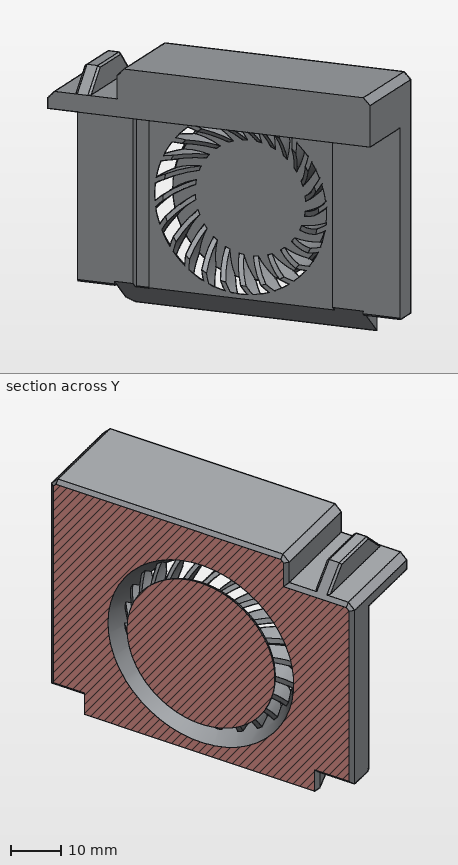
import cadquery as cq
import math

width = 70.0
depth = 22.0
height = 54.9
edge_chamfer = 1.5

plate_bottom = 5.0
plate_thickness = 7.1
plate_front = depth - plate_thickness
plate_front_chamfer = 0.4
shelf_bottom = 44.8

step_width = 15.1
step_top = 48.5

tongue_left = 8.05
tongue_right = 62.0
tongue_angle = 40.0

groove_left = 12.1
groove_depth = 1.8
recess_left = step_width
recess_right = 55.45
recess_depth = 0.9
recess_front = plate_front + recess_depth

rib_left = 5.95
rib_width = 3.3
rib_height = 4.9
rib_side_bevel = 0.5
rib_top_bevel = 0.35
rib_root = 0.7

fan_x = 35.1
fan_z = 24.8
opening_radius = 18.6
opening_angle = 27.0
hub_front_radius = 16.9
hub_back_radius = 17.4
hub_thickness = 1.25
hub_front = depth - hub_thickness
floor_radius = hub_front_radius - (hub_front - recess_front)
blade_count = 24
blade_thickness = 1.0
blade_arc_radius = 15.2
blade_center_radius = 14.85
blade_center_angle = 73.7
blade_start_angle = -62.0
blade_end_angle = -10.0


def front_plane(y):
    """Sketch plane facing -Y, with X to the right and Z up."""
    return cq.Workplane("XZ", origin=(0, y, 0))


def side_plane(x):
    """Sketch plane facing +X, with Y and Z as its axes."""
    return cq.Workplane("YZ", origin=(x, 0, 0))


def block(x0, x1, y0, y1, z0, z1):
    """Box between two opposite corners."""
    return cq.Workplane("XY").box(x1 - x0, y1 - y0, z1 - z0, centered=False).translate((x0, y0, z0))


def chamfered_block(left, top):
    """Full-depth block with its back edges and its two upper side edges chamfered."""
    sharp = block(left, width, 0, depth, plate_bottom, top)
    return sharp.edges(">Y or (|Y and >Z)").chamfer(edge_chamfer)


def make_body():
    """Stepped body, cut away below the shelf."""
    low_part = chamfered_block(0, step_top)
    tall_part = chamfered_block(step_width, height)
    below_shelf = block(0, width, 0, plate_front, 0, shelf_bottom)
    body = low_part.union(tall_part).cut(below_shelf)
    return body.faces("<Z").edges("<Y").chamfer(plate_front_chamfer)


def add_tongue(body):
    """Tongue hanging below the plate, its underside rising toward the front."""
    tongue = block(tongue_left, tongue_right, plate_front, depth, 0, plate_bottom + 2 * edge_chamfer)
    tongue = tongue.edges("|Z and <X and >Y").chamfer(edge_chamfer)
    slope_rise = plate_thickness * math.tan(math.radians(tongue_angle))
    below_slope = (
        side_plane(tongue_left)
        .polyline([(depth, 0), (plate_front, slope_rise), (plate_front, 0)])
        .close()
        .extrude(tongue_right - tongue_left)
    )
    return body.union(tongue).cut(below_slope)


def cut_front_recesses(body):
    """Shallow fan recess with a deeper cable groove along its left side."""
    groove = block(groove_left, recess_left, plate_front, plate_front + groove_depth, plate_bottom, shelf_bottom)
    recess = block(recess_left, recess_right, plate_front, recess_front, plate_bottom, shelf_bottom)
    return body.cut(groove).cut(recess)


def make_rib():
    """Rib with 45 degree ends, bevelled along both sides of its top and ends."""
    rib_front = -rib_root
    rib_back = depth - edge_chamfer + rib_root
    slope_run = rib_height + rib_root
    rib_bottom = step_top - rib_root
    rib_top = step_top + rib_height
    outline = [
        (rib_front, rib_bottom),
        (rib_back, rib_bottom),
        (rib_back - slope_run, rib_top),
        (rib_front + slope_run, rib_top),
    ]
    bevel_angle = math.degrees(math.atan(rib_top_bevel / rib_side_bevel))
    core_left = rib_left + rib_side_bevel
    core_right = rib_left + rib_width - rib_side_bevel
    core = side_plane(core_left).polyline(outline).close().extrude(core_right - core_left)
    right_bevel = side_plane(core_right).polyline(outline).close().extrude(rib_side_bevel, taper=bevel_angle)
    left_bevel = right_bevel.mirror("YZ", (rib_left + rib_width / 2, 0, 0))
    rib = core.union(right_bevel).union(left_bevel)
    above_step = block(0, step_width, 0, depth, step_top, height)
    return rib.intersect(above_step)


def polar(center, radius, angle):
    """Point at a radius and an angle in degrees about a center."""
    turn = math.radians(angle)
    return (center[0] + radius * math.cos(turn), center[1] + radius * math.sin(turn))


def make_opening():
    """Round opening through the recessed plate, flaring toward the back."""
    opening_depth = depth - recess_front
    flare = opening_depth * math.tan(math.radians(opening_angle))
    return (
        front_plane(depth)
        .center(fan_x, fan_z)
        .circle(opening_radius + flare)
        .workplane(offset=opening_depth)
        .circle(opening_radius)
        .loft()
    )


def make_hub():
    """Disc at the back of the opening, widening slightly toward the back."""
    return (
        front_plane(depth)
        .center(fan_x, fan_z)
        .circle(hub_back_radius)
        .workplane(offset=hub_thickness)
        .circle(hub_front_radius)
        .loft()
    )


def make_blade(turn):
    """Curved blade of constant thickness running from the hub out into the plate."""
    center = polar((fan_x, fan_z), blade_center_radius, blade_center_angle + turn)
    start = blade_start_angle + turn
    end = blade_end_angle + turn
    middle = (start + end) / 2
    inner = blade_arc_radius - blade_thickness / 2
    outer = blade_arc_radius + blade_thickness / 2
    return (
        front_plane(hub_front)
        .moveTo(*polar(center, inner, start))
        .threePointArc(polar(center, inner, middle), polar(center, inner, end))
        .lineTo(*polar(center, outer, end))
        .threePointArc(polar(center, outer, middle), polar(center, outer, start))
        .close()
        .extrude(hub_front - recess_front)
    )


def make_blade_cone(back_radius):
    """45 degree cone from the front of the hub to the recess, widening toward the front."""
    cone_depth = hub_front - recess_front
    return (
        front_plane(hub_front)
        .center(fan_x, fan_z)
        .circle(back_radius)
        .workplane(offset=cone_depth)
        .circle(back_radius + cone_depth)
        .loft()
    )


def add_fan(body):
    """Round opening with a hub held by blades that slope at 45 degrees inside and outside."""
    opening = make_opening()
    blade_zone = make_blade_cone(hub_front_radius).intersect(opening).cut(make_blade_cone(floor_radius))
    fan = make_hub()
    for index in range(blade_count):
        fan = fan.union(make_blade(index * 360 / blade_count).intersect(blade_zone))
    return body.cut(opening).union(fan)


body = make_body()
body = add_tongue(body)
body = cut_front_recesses(body)
body = body.union(make_rib())
result = add_fan(body)